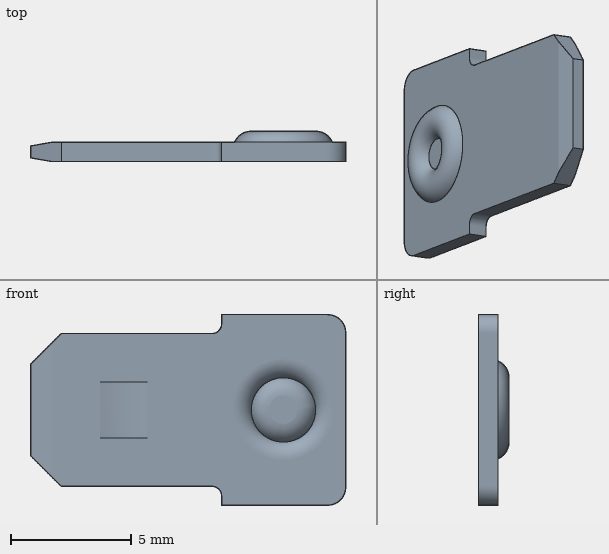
import cadquery as cq
import math

length = 13.08
thickness = 0.8128
overall_depth = 1.27
head_height = 7.92
neck_height = 6.35
neck_length = 7.92
head_corner_radius = 0.762
shoulder_fillet_radius = 0.39

tip_corner_chamfer = 1.27
tip_taper_length = 0.88
tip_taper_angle = 10.0

recess_x = 3.86
recess_width = 1.93
recess_height = 2.32
recess_depth = 0.127

bead_x = 10.49
groove_inner_radius = 0.59
groove_outer_radius = 2.08
groove_wall_radius = 0.79
bead_arc_radius = 0.762

half_head = head_height / 2
half_neck = neck_height / 2
mid_radius = (groove_inner_radius + groove_outer_radius) / 2


def make_plate():
    """Flat plate: wide head with rounded corners, narrower neck with a chamfered tip."""
    outline = [
        (0, -half_neck + tip_corner_chamfer),
        (tip_corner_chamfer, -half_neck),
        (neck_length, -half_neck),
        (neck_length, -half_head),
        (length, -half_head),
        (length, half_head),
        (neck_length, half_head),
        (neck_length, half_neck),
        (tip_corner_chamfer, half_neck),
        (0, half_neck - tip_corner_chamfer),
    ]
    plate = cq.Workplane("XZ").polyline(outline).close().extrude(-thickness)
    plate = plate.edges("|Y and >X").fillet(head_corner_radius)
    for side in (-1, 1):
        corner = cq.selectors.NearestToPointSelector((neck_length, thickness / 2, side * half_neck))
        plate = plate.edges(corner).fillet(shoulder_fillet_radius)
    return plate


def make_tip_tapers():
    """Wedges that thin the tip equally from the front and back faces."""
    drop = tip_taper_length * math.tan(math.radians(tip_taper_angle))
    front = (
        cq.Workplane("XY", origin=(0, 0, -half_neck))
        .polyline([(0, 0), (tip_taper_length, 0), (0, drop)])
        .close()
        .extrude(neck_height)
    )
    back = front.mirror("XZ", (0, thickness / 2, 0))
    return front.union(back)


def make_recess():
    """Segment of a cylinder along Z, sunk into the front face."""
    half_width = recess_width / 2
    return (
        cq.Workplane("XY", origin=(recess_x, 0, -recess_height / 2))
        .moveTo(-half_width, 0)
        .threePointArc((0, recess_depth), (half_width, 0))
        .close()
        .extrude(recess_height)
    )


def revolve_about_bead_axis(profile):
    """Revolve a (radius, Y) profile about the bead axis and move it into place."""
    return profile.revolve(360, (0, 0, 0), (0, 1, 0)).translate((bead_x, 0, 0))


def make_bead():
    """Annular bead on the back face: a circular segment revolved around the flat centre."""
    rise = overall_depth - thickness
    half_width = math.sqrt(2 * bead_arc_radius * rise - rise**2)
    profile = (
        cq.Workplane("XY")
        .moveTo(mid_radius - half_width, thickness)
        .threePointArc((mid_radius, overall_depth), (mid_radius + half_width, thickness))
        .close()
    )
    return revolve_about_bead_axis(profile)


def make_groove():
    """Annular groove whose two convex walls leave the front face tangentially and meet in a sharp valley."""
    half_width = mid_radius - groove_inner_radius
    wall_angle = math.asin(half_width / groove_wall_radius)
    valley_depth = groove_wall_radius * (1 - math.cos(wall_angle))
    mid_depth = groove_wall_radius * (1 - math.cos(wall_angle / 2))
    mid_reach = groove_wall_radius * math.sin(wall_angle / 2)
    profile = (
        cq.Workplane("XY")
        .moveTo(groove_inner_radius, 0)
        .threePointArc((groove_inner_radius + mid_reach, mid_depth), (mid_radius, valley_depth))
        .threePointArc((groove_outer_radius - mid_reach, mid_depth), (groove_outer_radius, 0))
        .close()
    )
    return revolve_about_bead_axis(profile)


plate = make_plate().cut(make_tip_tapers()).cut(make_recess())
result = plate.union(make_bead()).cut(make_groove())